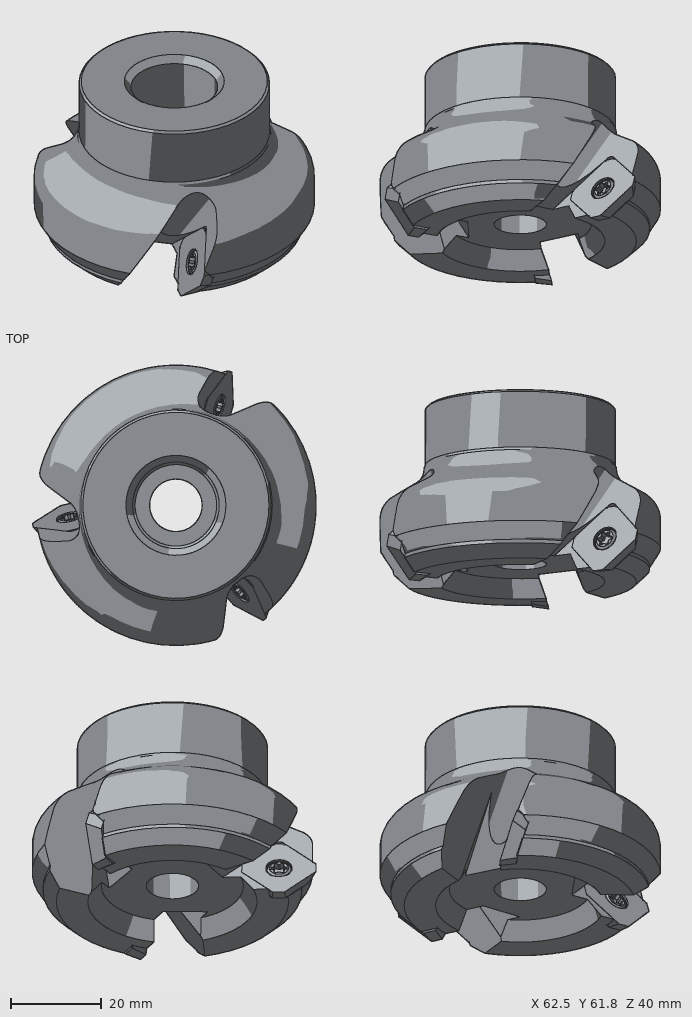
import cadquery as cq
import math

HEIGHT = 39.0
SHANK_R = 42.0 / 2
SHANK_CHAMFER = 0.5
COLLAR_R = 42.5 / 2
COLLAR_TOP_Z = 26.0
COLLAR_Z = 25.35
BODY_R = 30.9
FLARE_R = 5.0
FLARE_SLOPE = math.radians(30)
RIM_Z = 7.4
STEP_R = 28.8
STEP_Z = 3.95
BAND_R = 28.55
BAND_TOP_Z = 3.6
BAND_Z = 2.8
BASE_R = 25.6

BORE_R = 19.1 / 2
BORE_DEPTH = 20.0
BORE_MOUTH_R = 22.0 / 2
BORE_FLOOR_CHAMFER = 0.55
BOLT_HOLE_R = 11.5 / 2
RECESS_R = 18.65
RECESS_TOP_R = 15.65
RECESS_DEPTH = 3.95

STATION_COUNT = 3
FIRST_STATION_ANGLE = 192.8
SEAT_CENTRE = (23.5, -2.7, 6.7)
SEAT_TILT = math.radians(20.7)

INSERT_REACH = 8.2
CORNER_FLAT = 2.55
BACK_REACH = 6.4
BACK_CORNER_FLAT = 3.05
INSERT_THICKNESS = 3.2
SCREW_SINK_R = 5.75 / 2
SCREW_HEAD_R = 5.25 / 2
SCREW_TOP_R = 4.1 / 2
SCREW_SINK_DEPTH = 0.5
SOCKET_R = 3.5 / 2
SOCKET_LOBE_R = 0.45
SOCKET_LOBE_COUNT = 6
SOCKET_DEPTH = 1.5

FLUTE_R = 4.1
FLUTE_LEAN = math.radians(63.2)
FLUTE_OFFSET = 4.8
FLUTE_OPENING = math.radians(30.7)
FLUTE_REACH = 37.55

POCKET_REACH = 15.65
POCKET_HEIGHT = 8.15
POCKET_WALL_FLARE = 8.0
CORNER_RELIEF_R = 1.1


def seat_plane():
    """Plane of the insert face: x outward and level, y up the tilted face, z out of it."""
    normal = (0, -math.cos(SEAT_TILT), math.sin(SEAT_TILT))
    return cq.Plane(origin=SEAT_CENTRE, xDir=(1, 0, 0), normal=normal)


def at_station(index, shape):
    """Turn a shape about the cutter axis into one of the stations."""
    angle = FIRST_STATION_ANGLE + index * 360 / STATION_COUNT
    return shape.rotate((0, 0, 0), (0, 0, 1), angle)


def turned_blank():
    """Housing without its openings: shank, flared shoulder and stepped rim."""
    drop = FLARE_R * math.cos(FLARE_SLOPE)
    run = FLARE_R * (1 - math.sin(FLARE_SLOPE))
    half_turn = (math.pi / 2 - FLARE_SLOPE) / 2
    mid_drop = FLARE_R * math.sin(half_turn)
    mid_run = FLARE_R * (1 - math.cos(half_turn))
    neck_end = (COLLAR_R + run, COLLAR_Z - drop)
    shoulder_start_r = BODY_R - run
    shoulder_start_z = neck_end[1] - (shoulder_start_r - neck_end[0]) * math.tan(FLARE_SLOPE)
    shoulder_end_z = shoulder_start_z - drop
    profile = (
        cq.Workplane("XZ")
        .moveTo(0, 0)
        .lineTo(BASE_R, 0)
        .lineTo(BAND_R, BAND_Z)
        .lineTo(BAND_R, BAND_TOP_Z)
        .lineTo(STEP_R, STEP_Z)
        .lineTo(BODY_R, RIM_Z)
        .lineTo(BODY_R, shoulder_end_z)
        .threePointArc(
            (BODY_R - mid_run, shoulder_end_z + mid_drop),
            (shoulder_start_r, shoulder_start_z),
        )
        .lineTo(*neck_end)
        .threePointArc((COLLAR_R + mid_run, COLLAR_Z - mid_drop), (COLLAR_R, COLLAR_Z))
        .lineTo(SHANK_R, COLLAR_TOP_Z)
        .lineTo(SHANK_R, HEIGHT - SHANK_CHAMFER)
        .lineTo(SHANK_R - SHANK_CHAMFER, HEIGHT)
        .lineTo(0, HEIGHT)
        .close()
    )
    return profile.revolve(360, (0, 0, 0), (0, 1, 0))


def bore():
    """Stepped opening along the axis, from the bore mouth down to the base recess."""
    mouth_depth = BORE_MOUTH_R - BORE_R
    floor_z = HEIGHT - BORE_DEPTH
    profile = (
        cq.Workplane("XZ")
        .moveTo(0, 0)
        .lineTo(RECESS_R, 0)
        .lineTo(RECESS_TOP_R, RECESS_DEPTH)
        .lineTo(BOLT_HOLE_R, RECESS_DEPTH)
        .lineTo(BOLT_HOLE_R, floor_z)
        .lineTo(BORE_R - BORE_FLOOR_CHAMFER, floor_z)
        .lineTo(BORE_R, floor_z + BORE_FLOOR_CHAMFER)
        .lineTo(BORE_R, HEIGHT - mouth_depth)
        .lineTo(BORE_MOUTH_R, HEIGHT)
        .lineTo(0, HEIGHT)
        .close()
    )
    return profile.revolve(360, (0, 0, 0), (0, 1, 0))


def octagon(reach, corner_flat):
    """Corners of a square standing on a corner, each corner cut flat."""
    half = corner_flat / 2
    points = []
    for x, y in [(1, 0), (0, 1), (-1, 0), (0, -1)]:
        for side in (-half, half):
            points.append((x * reach - y * side, y * reach + x * side))
    return points


def insert_plate():
    return (
        cq.Workplane(seat_plane())
        .polyline(octagon(INSERT_REACH, CORNER_FLAT))
        .close()
        .workplane(offset=-INSERT_THICKNESS)
        .polyline(octagon(BACK_REACH, BACK_CORNER_FLAT))
        .close()
        .loft(ruled=True)
    )


def insert():
    """Insert with its screw head: a ring gap round the head and a six-lobed socket."""
    plane = seat_plane()
    sink = cq.Workplane(plane).circle(SCREW_SINK_R).extrude(-SCREW_SINK_DEPTH)
    head = (
        cq.Workplane(plane)
        .circle(SCREW_TOP_R)
        .workplane(offset=-SCREW_SINK_DEPTH)
        .circle(SCREW_HEAD_R)
        .loft()
    )
    lobe_centre_r = SOCKET_R - SOCKET_LOBE_R
    socket = cq.Workplane(plane).circle(lobe_centre_r).extrude(-SOCKET_DEPTH)
    lobes = (
        cq.Workplane(plane)
        .polarArray(lobe_centre_r, 0, 360, SOCKET_LOBE_COUNT)
        .circle(SOCKET_LOBE_R)
        .extrude(-SOCKET_DEPTH)
    )
    return insert_plate().cut(sink.cut(head)).cut(socket).cut(lobes)


def flute():
    """Slot with a round bottom, running up and outward along the insert face."""
    floor = seat_plane()
    along = floor.xDir * math.cos(FLUTE_LEAN) + floor.yDir * math.sin(FLUTE_LEAN)
    across = floor.xDir * math.sin(FLUTE_LEAN) - floor.yDir * math.cos(FLUTE_LEAN)
    section = cq.Plane(
        origin=floor.origin - across * FLUTE_OFFSET + floor.zDir * FLUTE_R,
        xDir=across,
        normal=along * -1,
    )
    wall_start = (-FLUTE_R * math.sin(FLUTE_OPENING), FLUTE_R * math.cos(FLUTE_OPENING))
    wall_end = (
        wall_start[0] + FLUTE_REACH * math.cos(FLUTE_OPENING),
        wall_start[1] + FLUTE_REACH * math.sin(FLUTE_OPENING),
    )
    return (
        cq.Workplane(section)
        .moveTo(FLUTE_REACH, -FLUTE_R)
        .lineTo(0, -FLUTE_R)
        .threePointArc((-FLUTE_R, 0), wall_start)
        .lineTo(*wall_end)
        .close()
        .extrude(FLUTE_REACH, both=True)
    )


def pocket():
    """Seat that matches the insert, cleared above its face and past its two free sides."""
    half_side = (INSERT_REACH + CORNER_FLAT / 2) / math.sqrt(2)
    square = cq.Workplane(seat_plane().rotated((0, 0, 45)))
    clearing = (
        square.moveTo(half_side, half_side)
        .lineTo(-POCKET_REACH, half_side)
        .lineTo(-POCKET_REACH, -POCKET_REACH)
        .lineTo(half_side, -POCKET_REACH)
        .close()
        .extrude(POCKET_HEIGHT, taper=-POCKET_WALL_FLARE)
    )
    relief = (
        square.workplane(offset=-INSERT_THICKNESS)
        .center(half_side - CORNER_RELIEF_R, half_side - CORNER_RELIEF_R)
        .circle(CORNER_RELIEF_R)
        .extrude(INSERT_THICKNESS + POCKET_HEIGHT)
    )
    return insert_plate().union(clearing).union(relief)


housing = turned_blank().cut(bore())
for station in range(STATION_COUNT):
    housing = housing.cut(at_station(station, flute())).cut(at_station(station, pocket()))

inserts = [at_station(station, insert()) for station in range(STATION_COUNT)]

result = cq.Compound.makeCompound([housing.val(), *[item.val() for item in inserts]])